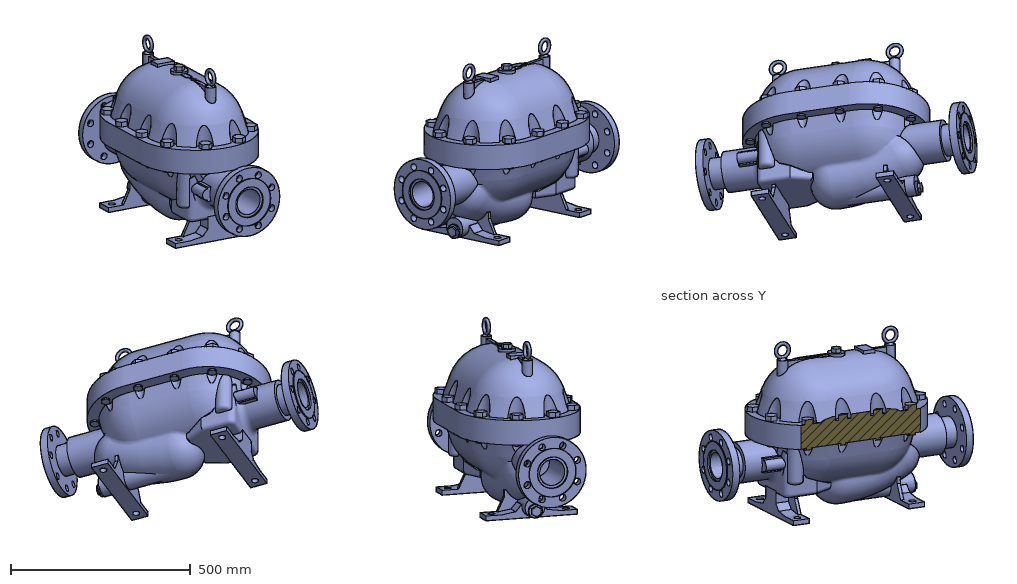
import cadquery as cq
import math


FACE_TO_FACE = 766.0
RAISED_FACE_DIAMETER = 138.0
RAISED_FACE_HEIGHT = 3.0
FLANGE_DIAMETER = 200.0
FLANGE_THICKNESS = 22.0
FLANGE_BOLT_CIRCLE = 160.0
FLANGE_HOLE_DIAMETER = 19.0
FLANGE_HOLE_COUNT = 8
PIPE_DIAMETER = 89.1
PIPE_BORE = 73.9
PIPE_RECESS = 5.0
NECK_DIAMETER = 116.0
NECK_END = 318.0
BORE_END = 250.0

JOINT_Z = 92.0
JOINT_FLANGE_THICKNESS = 35.0
JOINT_TOP = JOINT_Z + JOINT_FLANGE_THICKNESS
JOINT_BOTTOM = JOINT_Z - JOINT_FLANGE_THICKNESS
JOINT_WIDTH = 350.0
HALF_STRAIGHT = 90.0
COVER_BOLT_COUNT = 12
COVER_BOLT_RADIUS = 154.0
COVER_BOLT_DIAMETER = 25.0
COVER_BOLT_PROJECTION = 5.0
BOLT_HEAD_FLATS = 32.0
BOLT_HEAD_HEIGHT = 14.0
COVER_SPOTFACE_DIAMETER = 52.0
BODY_SPOTFACE_DIAMETER = 38.0

COVER_RADIUS = 137.0
COVER_CENTRE_Z = 135.0
COVER_TAPER = 20.0
BODY_RADIUS = 135.0
BODY_CENTRE_Z = 47.0
BODY_TAPER = 15.0
COVER_CROWN_Z = COVER_CENTRE_Z + COVER_RADIUS

PAD_TOP = 279.0
LUG_DIAMETER = 30.0
LUG_X = 170.0
LUG_BASE_Z = 180.0
EYE_COLLAR_DIAMETER = 25.0
EYE_COLLAR_TOP_DIAMETER = 14.0
EYE_COLLAR_HEIGHT = 6.0
EYE_CENTRE_Z = 305.48
EYE_OUTER_DIAMETER = 50.0
EYE_INNER_DIAMETER = 30.0
RIB_WIDTH = 12.0
RIB_TOP = 274.0
PLATE_LENGTH = 36.0
PLATE_WIDTH = 54.0
PLATE_X = -90.0
PLUG_FLATS = 26.0
TOP_PLUG_HEIGHT = 12.0
TOP_PLUG_PAD_DIAMETER = 48.0
ARROW_START = 22.0
ARROW_STEP = 55.0
ARROW_HEAD = 77.0
ARROW_TIP = 90.0
ARROW_TAIL_WIDTH = 18.0
ARROW_SHAFT_WIDTH = 8.0
ARROW_HEAD_WIDTH = 16.0
ARROW_TOP = 273.5

CHANNEL_RADIUS = 72.0
CHANNEL_BOTTOM = -158.0
CHANNEL_END_Z = CHANNEL_BOTTOM + CHANNEL_RADIUS
CHANNEL_FILLET = 12.0
CHANNEL_BEND_RADIUS = 363.0
CHANNEL_BEND_ANGLE = 30.0
DRAIN_BOSS_DIAMETER = 58.0
DRAIN_BOSS_Z = CHANNEL_BOTTOM + DRAIN_BOSS_DIAMETER / 2
DRAIN_BOSS_END = -235.0
DRAIN_PLUG_COLLAR = 40.0
DRAIN_COLLAR_THICKNESS = 6.0
DRAIN_PLUG_HEIGHT = 7.0
DRAIN_PLUG_Z = CHANNEL_BOTTOM + DRAIN_PLUG_COLLAR / 2

BLOCK_RIGHT = 207.0
BLOCK_BOTTOM = -98.0
BLOCK_HALF_WIDTH = 89.0
BLOCK_STEP_X = 108.0
BLOCK_LEFT = 50.0
BLOCK_LEFT_HALF_WIDTH = 62.0
BLOCK_TOP_SLOPE = [(0, -76), (60, -76), (140, -45), (BLOCK_RIGHT, 40)]
BLOCK_EDGE_RADIUS = 11.0
BLOCK_CORNER_RADIUS = 18.0
NECK_FILLET = 20.0
PILLAR_DIAMETER = 48.0
PILLAR_X = 176.0
PILLAR_Y = 85.0
PILLAR_BOTTOM = -57.0
PILLAR_EDGE_RADIUS = 10.0
STUB_DIAMETER = 33.0
STUB_Y = 65.0
STUB_WEB_HEIGHT = 42.0
STUB_WEB_INNER_Y = 45.0
STUB_END = 264.5

FOOT_BOTTOM = -163.0
FOOT_THICKNESS = 14.0
FOOT_TOP = FOOT_BOTTOM + FOOT_THICKNESS
FOOT_WIDTH = 270.0
FOOT_OUTER_X = 207.0
FOOT_LENGTH = 50.0
FOOT_INNER_X = FOOT_OUTER_X - FOOT_LENGTH
FOOT_HOLE_DIAMETER = 19.0
FOOT_HOLE_Y = 110.0
WEB_THICKNESS = 10.0
WEB_BASE_HALF_WIDTH = 87.0
WEB_TOP_HALF_WIDTH = 66.0
WEB_SHOULDER_Z = -107.0
WEB_TOP_Z = -88.0
FOOT_RIB_HALF_WIDTH = 30.0
FOOT_RIB_TOE_Z = -124.0
FOOT_FLARE_HALF_WIDTH = 47.0
FOOT_FLARE_Z = -143.0


def x_cylinder(diameter, x_start, x_end, y=0.0, z=0.0):
    plane = cq.Plane(origin=(x_start, y, z), xDir=(0, 1, 0), normal=(1, 0, 0))
    return cq.Workplane(plane).circle(diameter / 2).extrude(x_end - x_start)


def z_cylinder(diameter, z_start, z_end, x=0.0, y=0.0):
    plane = cq.Workplane("XY", origin=(x, y, z_start))
    return plane.circle(diameter / 2).extrude(z_end - z_start)


def box(x_range, y_range, z_range):
    size = [high - low for low, high in (x_range, y_range, z_range)]
    corner = (x_range[0], y_range[0], z_range[0])
    return cq.Workplane("XY").box(*size, centered=False).translate(corner)


def across_corners(flats):
    return flats / math.cos(math.radians(30))


def rounded_shell(radius, centre_z, taper, open_z):
    """Solid long dome, from its crown to the plane open_z where its wall is widest."""
    up = 1 if centre_z > open_z else -1
    cosine = math.cos(math.radians(taper))
    sine = math.sin(math.radians(taper))
    tangent_r = radius * cosine
    tangent_z = centre_z + up * radius * sine
    open_r = tangent_r + abs(tangent_z - open_z) * sine / cosine
    middle_angle = math.radians((90 + taper) / 2)
    middle_r = radius * math.cos(middle_angle)
    middle_z = centre_z + up * radius * math.sin(middle_angle)
    crown_z = centre_z + up * radius

    def half_profile(plane):
        return (
            cq.Workplane(plane)
            .moveTo(0, open_z)
            .lineTo(open_r, open_z)
            .lineTo(tangent_r, tangent_z)
            .threePointArc((middle_r, middle_z), (0, crown_z))
            .close()
        )

    end = half_profile("XZ").revolve(360, (0, 0, 0), (0, 1, 0))
    half = half_profile("YZ").extrude(HALF_STRAIGHT, both=True)
    shell = half.union(half.mirror("XZ"))
    for x in (-HALF_STRAIGHT, HALF_STRAIGHT):
        shell = shell.union(end.translate((x, 0, 0)))
    return shell


def cover_bolt_positions():
    """Equal steps along the rounded bolt line, starting half a step from its middle."""
    straight = 2 * HALF_STRAIGHT
    arc = math.pi * COVER_BOLT_RADIUS
    pitch = 2 * (straight + arc) / COVER_BOLT_COUNT
    positions = []
    for index in range(COVER_BOLT_COUNT // 2):
        travel = (index + 0.5) * pitch
        if travel < HALF_STRAIGHT:
            x, y = travel, COVER_BOLT_RADIUS
        elif travel < HALF_STRAIGHT + arc:
            angle = (travel - HALF_STRAIGHT) / COVER_BOLT_RADIUS
            x = HALF_STRAIGHT + COVER_BOLT_RADIUS * math.sin(angle)
            y = COVER_BOLT_RADIUS * math.cos(angle)
        else:
            x, y = straight + arc - travel, -COVER_BOLT_RADIUS
        positions += [(x, y), (-x, -y)]
    return positions


def make_shells():
    """Body, joint flange and cover, with clearance cut around each cover bolt."""
    bolts = cover_bolt_positions()
    cover = rounded_shell(COVER_RADIUS, COVER_CENTRE_Z, COVER_TAPER, JOINT_TOP)
    body = rounded_shell(BODY_RADIUS, BODY_CENTRE_Z, BODY_TAPER, JOINT_BOTTOM)
    for x, y in bolts:
        cover = cover.cut(z_cylinder(COVER_SPOTFACE_DIAMETER, JOINT_TOP, COVER_CROWN_Z, x, y))
        body = body.cut(z_cylinder(BODY_SPOTFACE_DIAMETER, 0, JOINT_BOTTOM, x, y))
    flange = (
        cq.Workplane("XY", origin=(0, 0, JOINT_BOTTOM))
        .slot2D(2 * HALF_STRAIGHT + JOINT_WIDTH, JOINT_WIDTH)
        .extrude(JOINT_TOP - JOINT_BOTTOM)
    )
    return body.union(flange).union(cover)


def add_cover_bolts(part):
    for x, y in cover_bolt_positions():
        on_straight_side = abs(x) < HALF_STRAIGHT
        head = (
            cq.Workplane("XY")
            .polygon(6, across_corners(BOLT_HEAD_FLATS))
            .extrude(BOLT_HEAD_HEIGHT)
            .rotate((0, 0, 0), (0, 0, 1), 90 if on_straight_side else 0)
            .translate((x, y, JOINT_TOP))
        )
        end = z_cylinder(COVER_BOLT_DIAMETER, JOINT_BOTTOM - COVER_BOLT_PROJECTION, JOINT_BOTTOM, x, y)
        part = part.union(head).union(end)
    return part


def make_eye_lug(x):
    lug = z_cylinder(LUG_DIAMETER, LUG_BASE_Z, PAD_TOP, x)
    collar = (
        cq.Workplane("XY", origin=(x, 0, PAD_TOP))
        .circle(EYE_COLLAR_DIAMETER / 2)
        .workplane(offset=EYE_COLLAR_HEIGHT)
        .circle(EYE_COLLAR_TOP_DIAMETER / 2)
        .loft()
    )
    wire_radius = (EYE_OUTER_DIAMETER - EYE_INNER_DIAMETER) / 4
    ring_radius = EYE_INNER_DIAMETER / 2 + wire_radius
    ring = cq.Solid.makeTorus(ring_radius, wire_radius, cq.Vector(x, 0, EYE_CENTRE_Z), cq.Vector(0, 1, 0))
    return lug.union(collar).union(cq.Workplane(ring))


def make_flow_arrow():
    """Raised arrow on the crown, pointing to the outlet."""
    upper = [
        (ARROW_START, ARROW_TAIL_WIDTH / 2),
        (ARROW_STEP, ARROW_TAIL_WIDTH / 2),
        (ARROW_STEP, ARROW_SHAFT_WIDTH / 2),
        (ARROW_HEAD, ARROW_SHAFT_WIDTH / 2),
        (ARROW_HEAD, ARROW_HEAD_WIDTH / 2),
        (ARROW_TIP, 0),
    ]
    lower = [(x, -y) for x, y in reversed(upper[:-1])]
    base = COVER_CENTRE_Z
    return cq.Workplane("XY", origin=(0, 0, base)).polyline(upper + lower).close().extrude(ARROW_TOP - base)


def add_cover_fittings(part):
    base = COVER_CENTRE_Z
    half_rib = RIB_WIDTH / 2
    part = part.union(box((-LUG_X, PLATE_X), (-half_rib, half_rib), (base, RIB_TOP)))
    part = part.union(box((ARROW_TIP, LUG_X), (-half_rib, half_rib), (base, RIB_TOP)))
    plate_x = (PLATE_X - PLATE_LENGTH / 2, PLATE_X + PLATE_LENGTH / 2)
    part = part.union(box(plate_x, (-PLATE_WIDTH / 2, PLATE_WIDTH / 2), (base, PAD_TOP)))
    part = part.union(make_flow_arrow())
    part = part.union(z_cylinder(TOP_PLUG_PAD_DIAMETER, base, PAD_TOP))
    plug_outline = cq.Workplane("XY", origin=(0, 0, PAD_TOP)).polygon(6, across_corners(PLUG_FLATS))
    part = part.union(plug_outline.extrude(TOP_PLUG_HEIGHT))
    for x in (-LUG_X, LUG_X):
        part = part.union(make_eye_lug(x))
    return part


def make_channel():
    """Round passage curving up to the inlet, with ball-shaped ends."""
    angle = math.radians(CHANNEL_BEND_ANGLE)
    inlet_x = -CHANNEL_BEND_RADIUS * math.sin(angle)
    inlet_z = CHANNEL_END_Z + CHANNEL_BEND_RADIUS * (1 - math.cos(angle))
    tube = (
        cq.Workplane("YZ", origin=(0, 0, CHANNEL_END_Z))
        .circle(CHANNEL_RADIUS)
        .revolve(CHANNEL_BEND_ANGLE, (0, CHANNEL_BEND_RADIUS, 0), (1, CHANNEL_BEND_RADIUS, 0))
    )
    ball = cq.Workplane("XY").sphere(CHANNEL_RADIUS)
    inlet_end = ball.translate((inlet_x, 0, inlet_z))
    channel = tube.union(ball.translate((0, 0, CHANNEL_END_Z))).union(inlet_end)
    span = 2 * NECK_END
    above_axis = box((-span, span), (-span, span), (0, span))
    return channel.cut(above_axis)


def add_channel(part):
    """Join the channel to the body with a fillet along the curved seam below the pipe axis."""
    part = part.union(make_channel())
    seam_region = cq.selectors.BoxSelector((-NECK_END, -JOINT_WIDTH, FOOT_BOTTOM), (NECK_END, JOINT_WIDTH, 0))
    seam = part.edges(seam_region).edges("%BSPLINE")
    return seam.fillet(CHANNEL_FILLET)


def make_drain():
    """Boss along X below the channel, closed by a hexagon plug with a collar."""
    boss = x_cylinder(DRAIN_BOSS_DIAMETER, DRAIN_BOSS_END, 0, 0, DRAIN_BOSS_Z)
    collar_end = DRAIN_BOSS_END - DRAIN_COLLAR_THICKNESS
    collar = x_cylinder(DRAIN_PLUG_COLLAR, collar_end, DRAIN_BOSS_END, 0, DRAIN_PLUG_Z)
    plug_plane = cq.Plane(origin=(collar_end, 0, DRAIN_PLUG_Z), xDir=(0, 0, 1), normal=(-1, 0, 0))
    plug = cq.Workplane(plug_plane).polygon(6, across_corners(PLUG_FLATS)).extrude(DRAIN_PLUG_HEIGHT)
    return boss.union(collar).union(plug)


def make_outlet_block():
    """Block under the outlet end with its neck flare, side pillars and round stubs."""
    plan = [
        (BLOCK_LEFT, -BLOCK_LEFT_HALF_WIDTH),
        (BLOCK_STEP_X, -BLOCK_HALF_WIDTH),
        (BLOCK_RIGHT, -BLOCK_HALF_WIDTH),
        (BLOCK_RIGHT, BLOCK_HALF_WIDTH),
        (BLOCK_STEP_X, BLOCK_HALF_WIDTH),
        (BLOCK_LEFT, BLOCK_LEFT_HALF_WIDTH),
    ]
    block = (
        cq.Workplane("XY", origin=(0, 0, BLOCK_BOTTOM))
        .polyline(plan)
        .close()
        .extrude(JOINT_BOTTOM - BLOCK_BOTTOM)
    )
    above_slope = (
        cq.Workplane("XZ")
        .polyline(BLOCK_TOP_SLOPE + [(BLOCK_RIGHT, JOINT_BOTTOM), (0, JOINT_BOTTOM)])
        .close()
        .extrude(BLOCK_HALF_WIDTH, both=True)
    )
    block = block.cut(above_slope)
    block = block.edges("|Z").edges(">X").fillet(BLOCK_CORNER_RADIUS)
    block = block.faces("<Z").edges().fillet(BLOCK_EDGE_RADIUS)
    neck_radius = NECK_DIAMETER / 2
    middle = NECK_FILLET * (1 - math.sqrt(0.5))
    flare = (
        cq.Workplane("XY")
        .moveTo(BLOCK_RIGHT - NECK_FILLET, 0)
        .lineTo(BLOCK_RIGHT + NECK_FILLET, 0)
        .lineTo(BLOCK_RIGHT + NECK_FILLET, neck_radius)
        .threePointArc(
            (BLOCK_RIGHT + middle, neck_radius + middle),
            (BLOCK_RIGHT, neck_radius + NECK_FILLET),
        )
        .lineTo(BLOCK_RIGHT - NECK_FILLET, neck_radius + NECK_FILLET)
        .close()
        .revolve(360, (0, 0, 0), (1, 0, 0))
    )
    below_axis = box((0, STUB_END), (-BLOCK_HALF_WIDTH, BLOCK_HALF_WIDTH), (BLOCK_BOTTOM, 0))
    block = block.union(flare.intersect(below_axis))
    for side in (-1, 1):
        pillar = z_cylinder(PILLAR_DIAMETER, PILLAR_BOTTOM, JOINT_BOTTOM, PILLAR_X, side * PILLAR_Y)
        block = block.union(pillar.faces("<Z").edges().fillet(PILLAR_EDGE_RADIUS))
        block = block.union(x_cylinder(STUB_DIAMETER, PILLAR_X, STUB_END, side * STUB_Y))
    half_web = STUB_WEB_HEIGHT / 2
    for y_range in ((-STUB_Y, -STUB_WEB_INNER_Y), (STUB_WEB_INNER_Y, STUB_Y)):
        block = block.union(box((PILLAR_X, STUB_END), y_range, (-half_web, half_web)))
    return block


def symmetric_plate(half_outline, x, thickness):
    """Plate across X whose (y, z) outline is mirrored about y = 0."""
    mirrored = [(-y, z) for y, z in reversed(half_outline)]
    outline = cq.Workplane("YZ", origin=(x, 0, 0)).polyline(half_outline + mirrored)
    return outline.close().extrude(thickness)


def make_foot(side):
    """Foot plate with an upright web along its inner edge; side is -1 or 1 along X."""
    foot = box((FOOT_INNER_X, FOOT_OUTER_X), (-FOOT_WIDTH / 2, FOOT_WIDTH / 2), (FOOT_BOTTOM, FOOT_TOP))
    for y in (-FOOT_HOLE_Y, FOOT_HOLE_Y):
        hole_x = (FOOT_INNER_X + FOOT_OUTER_X) / 2
        foot = foot.cut(z_cylinder(FOOT_HOLE_DIAMETER, FOOT_BOTTOM, FOOT_TOP, hole_x, y))
    web_half = [
        (WEB_BASE_HALF_WIDTH, FOOT_TOP),
        (WEB_TOP_HALF_WIDTH, WEB_SHOULDER_Z),
        (WEB_TOP_HALF_WIDTH, WEB_TOP_Z),
    ]
    rib_half = [
        (WEB_BASE_HALF_WIDTH, FOOT_TOP),
        (FOOT_FLARE_HALF_WIDTH, FOOT_FLARE_Z),
        (FOOT_RIB_HALF_WIDTH, FOOT_RIB_TOE_Z),
    ]
    if side > 0:
        rib_half.append((FOOT_RIB_HALF_WIDTH, WEB_TOP_Z))
    foot = foot.union(symmetric_plate(web_half, FOOT_INNER_X, WEB_THICKNESS))
    foot = foot.union(symmetric_plate(rib_half, FOOT_INNER_X, FOOT_LENGTH))
    return foot if side > 0 else foot.mirror("YZ")


def make_pipe_end():
    """Neck, pipe and flange on the +X side."""
    face = FACE_TO_FACE / 2
    flange_front = face - RAISED_FACE_HEIGHT
    flange_back = flange_front - FLANGE_THICKNESS
    pipe_end = x_cylinder(NECK_DIAMETER, HALF_STRAIGHT, NECK_END)
    pipe_end = pipe_end.union(x_cylinder(PIPE_DIAMETER, NECK_END, flange_back))
    flange = x_cylinder(FLANGE_DIAMETER, flange_back, flange_front)
    flange = flange.union(x_cylinder(RAISED_FACE_DIAMETER, flange_front, face))
    for index in range(FLANGE_HOLE_COUNT):
        angle = 2 * math.pi * (index + 0.5) / FLANGE_HOLE_COUNT
        y = FLANGE_BOLT_CIRCLE / 2 * math.cos(angle)
        z = FLANGE_BOLT_CIRCLE / 2 * math.sin(angle)
        flange = flange.cut(x_cylinder(FLANGE_HOLE_DIAMETER, flange_back, face, y, z))
    return pipe_end.union(flange)


def cut_pipe_bores(part):
    face = FACE_TO_FACE / 2
    for side in (-1, 1):
        bore = x_cylinder(PIPE_BORE, BORE_END, face)
        bore = bore.union(x_cylinder(PIPE_DIAMETER, face - PIPE_RECESS, face))
        part = part.cut(bore if side > 0 else bore.mirror("YZ"))
    return part


part = make_shells()
part = add_channel(part)
part = part.union(make_drain())
part = part.union(make_outlet_block())
part = part.union(make_pipe_end())
part = part.union(make_pipe_end().mirror("YZ"))
for foot_side in (-1, 1):
    part = part.union(make_foot(foot_side))
part = add_cover_bolts(part)
part = add_cover_fittings(part)
result = cut_pipe_bores(part)